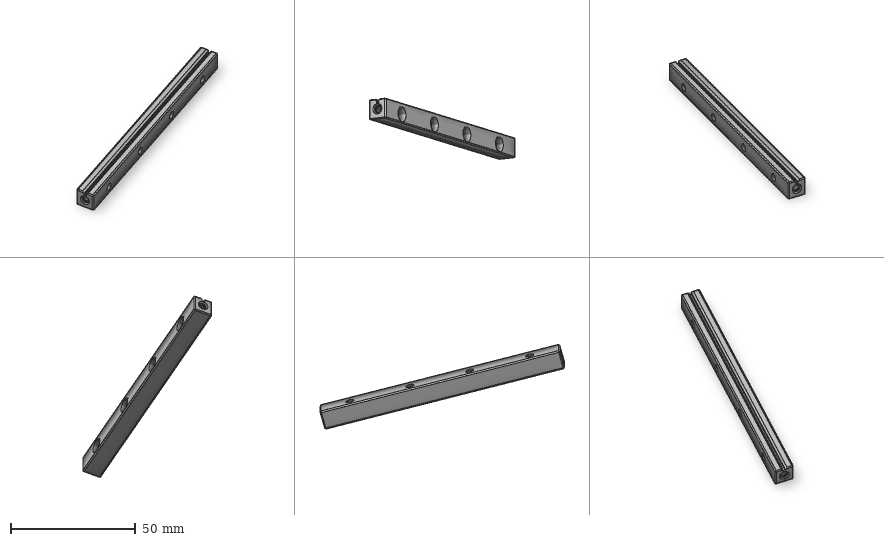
import cadquery as cq
import math

width = 8.0
length = 100.0
height = 8.2
edge_x = 0.6
edge_y = 0.5
edge_z = 0.4

groove_mouth = 2.6
slot_width = 1.0
groove_depth = 1.6

hole_count = 4
hole_pitch = length / hole_count
hole_height = 3.5
hole_diameter = 3.2
counterbore_diameter = 6.0
counterbore_depth = 3.2

end_hole_height = height / 2
mouth_diameter = 4.2
pilot_diameter = 3.2
pilot_depth = 1.0
core_diameter = 2.5
core_depth = 7.0
drill_point_angle = 118.0


def chamfered_outline(across, up, setback_across, setback_up):
    """Corner points of a rectangle centred on the origin with cut corners."""
    side = across / 2
    top = up / 2
    flat_x = side - setback_across
    flat_y = top - setback_up
    return [
        (-flat_x, -top), (flat_x, -top), (side, -flat_y), (side, flat_y),
        (flat_x, top), (-flat_x, top), (-side, flat_y), (-side, -flat_y),
    ]


def make_bar():
    """Rectangular bar with chamfered long edges and end edges."""
    section = chamfered_outline(width, height, edge_x, edge_z)
    plan = chamfered_outline(width, length, edge_x, edge_y)
    elevation = chamfered_outline(length, height, edge_y, edge_z)
    bar = cq.Workplane("XZ").polyline(section).close().extrude(length / 2, both=True)
    bar = bar.intersect(cq.Workplane("XY").polyline(plan).close().extrude(height, both=True))
    bar = bar.intersect(cq.Workplane("YZ").polyline(elevation).close().extrude(width, both=True))
    return bar.translate((0, 0, height / 2))


def make_groove():
    """Funnel-topped groove running the full length of the top face."""
    mouth = groove_mouth / 2
    slot = slot_width / 2
    funnel_bottom = height - (mouth - slot)
    floor = height - groove_depth
    profile = [
        (-mouth, height), (-slot, funnel_bottom), (-slot, floor),
        (slot, floor), (slot, funnel_bottom), (mouth, height),
    ]
    return cq.Workplane("XZ").polyline(profile).close().extrude(length, both=True)


def make_cross_hole(y):
    """Through hole along X with its counterbore on the -X side."""
    side = cq.Workplane("YZ", origin=(-width / 2, y, hole_height))
    hole = side.circle(hole_diameter / 2).extrude(width)
    return hole.union(side.circle(counterbore_diameter / 2).extrude(counterbore_depth))


def make_end_hole():
    """Stepped blind hole running inward from the -Y end, with a drill point."""
    mouth = mouth_diameter / 2
    pilot = pilot_diameter / 2
    core = core_diameter / 2
    point = core / math.tan(math.radians(drill_point_angle / 2))
    end = -length / 2
    profile = [
        (0, end),
        (mouth, end),
        (pilot, end + mouth - pilot),
        (pilot, end + pilot_depth),
        (core, end + pilot_depth + pilot - core),
        (core, end + core_depth),
        (0, end + core_depth + point),
    ]
    hole = cq.Workplane("XY").polyline(profile).close().revolve(360, (0, 0), (0, 1))
    return hole.translate((0, 0, end_hole_height))


result = make_bar().cut(make_groove())
for index in range(hole_count):
    hole_y = (index - (hole_count - 1) / 2) * hole_pitch
    result = result.cut(make_cross_hole(hole_y))
end_hole = make_end_hole()
result = result.cut(end_hole).cut(end_hole.mirror("XZ"))